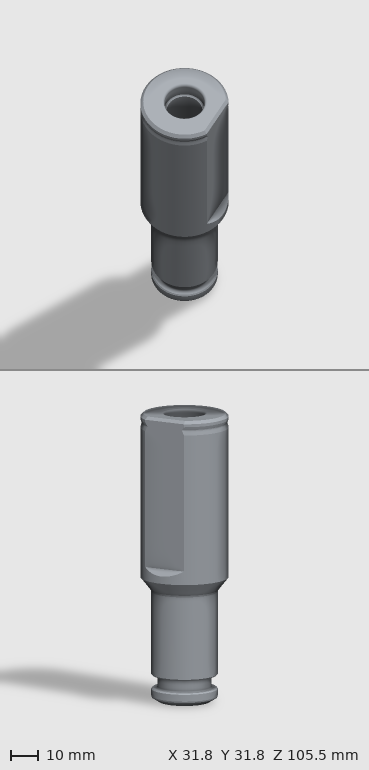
import cadquery as cq

length = 105.5
body_radius = 15.88
shank_radius = 24.0 / 2
neck_radius = 19.5 / 2

head_chamfer = 1.1
groove_top = 103.4
groove_floor_top = 102.2
groove_floor_bottom = 101.9
groove_bottom = 100.3
groove_depth = 0.4

taper_top = 45.6
taper_bottom = 40.9
transition_bottom = 40.3
transition_width = 0.2

neck_top = 10.1
neck_bottom = 5.1
neck_edge_chamfer = 0.4
neck_fillet = 0.5
foot_taper_top = 1.6
foot_edge_top = 2.1
foot_edge_width = 0.2
foot_radius = 9.2

flat_x = 13.6
flat_bottom = 50.5

bore_radius = 12.9 / 2
counterbore_radius = 14.5 / 2
counterbore_depth = 5.3
counterbore_floor_drop = 0.3
counterbore_fillet = 1.0


def make_shaft():
    """Revolve the outer half profile (radius, height) about Z."""
    groove_radius = body_radius - groove_depth
    neck_corner_radius = neck_radius + neck_fillet
    arc_offset = neck_fillet * (1 - 0.5 ** 0.5)
    profile = (
        cq.Workplane("XZ")
        .lineTo(foot_radius, 0)
        .lineTo(shank_radius - foot_edge_width, foot_taper_top)
        .lineTo(shank_radius, foot_edge_top)
        .lineTo(shank_radius, neck_bottom - neck_edge_chamfer)
        .lineTo(shank_radius - neck_edge_chamfer, neck_bottom)
        .lineTo(neck_corner_radius, neck_bottom)
        .threePointArc(
            (neck_radius + arc_offset, neck_bottom + arc_offset),
            (neck_radius, neck_bottom + neck_fillet),
        )
        .lineTo(neck_radius, neck_top - neck_edge_chamfer - neck_fillet)
        .threePointArc(
            (neck_radius + arc_offset, neck_top - neck_edge_chamfer - arc_offset),
            (neck_corner_radius, neck_top - neck_edge_chamfer),
        )
        .lineTo(shank_radius - neck_edge_chamfer, neck_top - neck_edge_chamfer)
        .lineTo(shank_radius, neck_top)
        .lineTo(shank_radius, transition_bottom)
        .lineTo(shank_radius + transition_width, taper_bottom)
        .lineTo(body_radius, taper_top)
        .lineTo(body_radius, groove_bottom)
        .lineTo(groove_radius, groove_floor_bottom)
        .lineTo(groove_radius, groove_floor_top)
        .lineTo(body_radius, groove_top)
        .lineTo(body_radius, length - head_chamfer)
        .lineTo(body_radius - head_chamfer, length)
        .lineTo(0, length)
        .close()
    )
    return profile.revolve(360, (0, 0, 0), (0, 1, 0))


def make_flat_cutter():
    """Prism that cuts the flat, its lower ramp and its chamfered top edge."""
    outer_x = body_radius + 1.1
    return (
        cq.Workplane("XZ")
        .moveTo(flat_x - head_chamfer, length)
        .lineTo(flat_x, length - head_chamfer)
        .lineTo(flat_x, flat_bottom)
        .lineTo(outer_x, flat_bottom - (outer_x - flat_x))
        .lineTo(outer_x, length)
        .close()
        .extrude(body_radius, both=True)
    )


def make_bore_cutter():
    """Revolved through bore, counterbore with a slightly conical floor and a rounded rim."""
    counterbore_floor = length - counterbore_depth
    arc_offset = counterbore_fillet * (1 - 0.5 ** 0.5)
    return (
        cq.Workplane("XZ")
        .lineTo(bore_radius, 0)
        .lineTo(bore_radius, counterbore_floor - counterbore_floor_drop)
        .lineTo(counterbore_radius, counterbore_floor)
        .lineTo(counterbore_radius, length - counterbore_fillet)
        .threePointArc(
            (counterbore_radius + arc_offset, length - arc_offset),
            (counterbore_radius + counterbore_fillet, length),
        )
        .lineTo(0, length)
        .close()
        .revolve(360, (0, 0, 0), (0, 1, 0))
    )


result = make_shaft().cut(make_flat_cutter()).cut(make_bore_cutter())